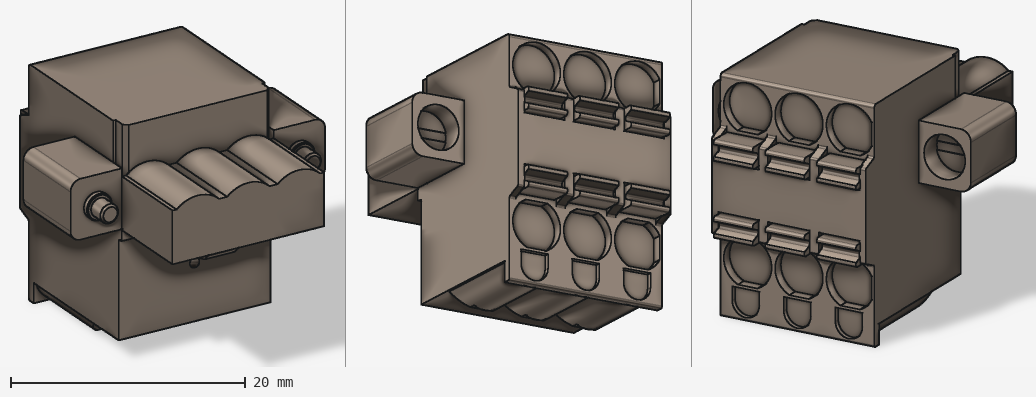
import cadquery as cq


pole_pitch = 5.08
pole_offsets = [pole_pitch, 0.0, -pole_pitch]
body_width = 15.14
body_height = 22.1
body_back = 15.26
lower_back = 14.73
lower_back_top = 11.35
back_step_fillet = 0.14
floor_z = 1.91
lip_thickness = 0.82
top_edge_fillet = 0.3
lip_edge_fillet = 0.2

band_mid_z = 12.38
band_depth = 1.45
band_half_inner = 4.33
band_half_outer = 4.9
band_fillet = 0.2

pocket_half_inner = 2.3
pocket_half_outer = 5.05
rib_width = 0.9
rib_y = 2.5
outer_rib_width = 0.64
lever_width = 3.84
lever_shift = -0.04
lever_tip_depth = 2.2
lever_half_inner = 2.5
lever_half_outer = 4.5
tang_tip_thickness = 0.45
tang_tip_setback = 0.06
tang_root_thickness = 0.72
tang_tip_round = 0.22

wire_hole_radius = 2.36
wire_hole_depth = 1.0
wire_hole_shift = -0.17
wire_hole_pitch = 5.05
wire_hole_min_y = -7.32
upper_hole_z = 19.36
upper_hole_bottom = 17.22
lower_hole_z = 5.36
lower_hole_bottom = 3.2
lower_hole_top = 7.47

test_hole_radius = 1.335
test_hole_z = 1.67
test_hole_top = 2.94
test_hole_depth = 0.5

belly_radius = 2.3
belly_end_top = 10.4
belly_slope_end = 8.87
belly_step_z = 0.27
belly_end_bottom = 8.29

shroud_end = 23.52
shroud_bottom = 12.42
shroud_shoulder = 17.45
shroud_top = 18.27
hump_pitch = 5.04
hump_half_width = 2.12

total_width = 25.4
ear_front = 7.56
ear_bottom = 12.52
ear_top = 18.21
ear_corner = 1.0
screw_y = 10.12
screw_z = (ear_bottom + ear_top) / 2
screw_bore_radius = 2.03
screw_bore_depth = 2.1
screw_slot_width = 0.82
screw_slot_depth = 0.1
collar_radius = 1.25
collar_length = 0.58
collar_chamfer = 0.1
pin_radius = 0.9
pin_end = 17.55
pin_chamfer = 0.2

corner_front = 13.8
corner_inset = 0.27
corner_chamfer = 0.4

latch_width = 3.0
latch_root_bottom = 8.7
latch_root_top = 10.82
latch_root_flare = 0.15
latch_arm_end = 18.28
latch_arm_end_top = 10.9
latch_crest_start = 18.65
latch_crest_end = 18.85
latch_crest_z = 11.28
latch_nose_x = 19.7
latch_nose_bottom = 10.52
latch_nose_top = 10.8
latch_chin_x = 18.8
latch_chin_z = 9.63
stop_radius = 0.48
stop_height = 0.31
stop_z = 7.42

half_width = body_width / 2


def box(x_range, y_range, z_range):
    """Block between the given limits."""
    size = [high - low for low, high in (x_range, y_range, z_range)]
    corner = (x_range[0], y_range[0], z_range[0])
    return cq.Workplane("XY").box(*size, centered=False).translate(corner)


def side_extrusion(points, width, middle_y=0.0):
    """Extrude an X-Z outline over a width centred on middle_y."""
    outline = cq.Workplane("XZ").polyline(points).close()
    return outline.extrude(width / 2, both=True).translate((0, middle_y, 0))


def x_cylinder(radius, start_x, end_x, y, z):
    """Cylinder along X."""
    base = cq.Workplane("YZ", origin=(start_x, y, z))
    return base.circle(radius).extrude(end_x - start_x)


def edges_at(shape, x, z):
    """Straight edges along Y at the given X and Z."""
    reach = 0.01
    low = (x - reach, -total_width, z - reach)
    high = (x + reach, total_width, z + reach)
    return shape.edges(cq.selectors.BoxSelector(low, high))


def make_body():
    inner_top = band_mid_z + band_half_inner
    outer_top = band_mid_z + band_half_outer
    inner_bottom = band_mid_z - band_half_inner
    outer_bottom = band_mid_z - band_half_outer
    outline = [
        (0, 0),
        (lip_thickness, 0),
        (lip_thickness, floor_z),
        (lower_back, floor_z),
        (lower_back, lower_back_top),
        (body_back, lower_back_top),
        (body_back, body_height),
        (0, body_height),
        (0, outer_top),
        (-band_depth, inner_top),
        (-band_depth, inner_bottom),
        (0, outer_bottom),
    ]
    body = side_extrusion(outline, body_width)
    body = edges_at(body, 0, body_height).fillet(top_edge_fillet)
    body = edges_at(body, 0, 0).fillet(lip_edge_fillet)
    for x in (lower_back, body_back):
        body = edges_at(body, x, lower_back_top).fillet(back_step_fillet)
    for x, z in (
        (0, outer_top),
        (-band_depth, inner_top),
        (-band_depth, inner_bottom),
        (0, outer_bottom),
    ):
        body = edges_at(body, x, z).fillet(band_fillet)
    return body


def make_corner_recess(side):
    """Shallow recess that ends in a chamfer on the back edge; side is +1 or -1."""
    inset_y = half_width - corner_inset
    outline = [
        (corner_front, side * half_width),
        (corner_front, side * inset_y),
        (body_back - corner_chamfer, side * inset_y),
        (body_back, side * (inset_y - corner_chamfer)),
        (body_back, side * half_width),
    ]
    base = cq.Workplane("XY", origin=(0, 0, ear_bottom))
    return base.polyline(outline).close().extrude(body_height - ear_bottom)


def make_lever_pocket(low_y, high_y, direction):
    """Pocket through the band; direction is +1 above its middle and -1 below."""
    limits = [band_mid_z + direction * half for half in (pocket_half_inner, pocket_half_outer)]
    return box((-lever_tip_depth, 0), (low_y, high_y), sorted(limits))


def make_lever(middle_y, direction):
    """Lever with two tangs and a concave groove for a screwdriver blade."""

    def z_at(half):
        return band_mid_z + direction * half

    outer_root = lever_half_outer - tang_root_thickness
    inner_root = lever_half_inner + tang_root_thickness
    tip_x = -lever_tip_depth
    tip_inner_x = tip_x + tang_tip_setback
    lever = (
        cq.Workplane("XZ")
        .moveTo(0, z_at(lever_half_inner))
        .lineTo(tip_x + tang_tip_round, z_at(lever_half_inner))
        .threePointArc(
            (tip_x, z_at(lever_half_inner + tang_tip_round)),
            (tip_inner_x, z_at(lever_half_inner + tang_tip_thickness)),
        )
        .lineTo(-band_depth, z_at(inner_root))
        .tangentArcPoint((-band_depth, z_at(outer_root)), relative=False)
        .lineTo(tip_inner_x, z_at(lever_half_outer - tang_tip_thickness))
        .threePointArc(
            (tip_x, z_at(lever_half_outer - tang_tip_round)),
            (tip_x + tang_tip_round, z_at(lever_half_outer)),
        )
        .lineTo(0, z_at(lever_half_outer))
        .close()
        .extrude(lever_width / 2, both=True)
    )
    return lever.translate((0, middle_y, 0))


def make_wire_holes(y):
    """Upper and lower wire opening of one pole: round recesses with flats."""
    low_y = max(y - wire_hole_radius, wire_hole_min_y)
    high_y = y + wire_hole_radius
    holes = []
    for z, low_z, high_z in (
        (upper_hole_z, upper_hole_bottom, upper_hole_z + wire_hole_radius),
        (lower_hole_z, lower_hole_bottom, lower_hole_top),
    ):
        disc = x_cylinder(wire_hole_radius, 0, wire_hole_depth, y, z)
        holes.append(disc.intersect(box((0, wire_hole_depth), (low_y, high_y), (low_z, high_z))))
    return holes


def make_test_hole(y):
    """D-shaped recess with its flat side up."""
    outline = (
        cq.Workplane("YZ")
        .moveTo(y - test_hole_radius, test_hole_top)
        .lineTo(y - test_hole_radius, test_hole_z)
        .threePointArc((y, test_hole_z - test_hole_radius), (y + test_hole_radius, test_hole_z))
        .lineTo(y + test_hole_radius, test_hole_top)
        .close()
    )
    return outline.extrude(test_hole_depth)


def make_belly(y):
    """Half-round rib with a sloped back end."""
    rod = x_cylinder(belly_radius, lip_thickness, belly_end_top, y, belly_radius)
    outline = [
        (lip_thickness, 0),
        (belly_end_bottom, 0),
        (belly_end_bottom, belly_step_z),
        (belly_slope_end, belly_step_z),
        (belly_end_top, floor_z),
        (lip_thickness, floor_z),
    ]
    return rod.intersect(side_extrusion(outline, 2 * belly_radius, y))


def make_shroud():
    shroud = box((body_back, shroud_end), (-half_width, half_width), (shroud_bottom, shroud_shoulder))
    rise = shroud_top - shroud_shoulder
    hump_radius = (hump_half_width**2 + rise**2) / (2 * rise)
    for pole in (-1, 0, 1):
        y = pole * hump_pitch
        rod = x_cylinder(hump_radius, body_back, shroud_end, y, shroud_top - hump_radius)
        cap = box(
            (body_back, shroud_end),
            (y - hump_half_width, y + hump_half_width),
            (shroud_shoulder, shroud_top),
        )
        shroud = shroud.union(rod.intersect(cap))
    return shroud


def make_ears():
    ears = box(
        (ear_front, body_back),
        (-total_width / 2, total_width / 2),
        (ear_bottom, ear_top),
    )
    return ears.edges("|X").fillet(ear_corner)


def make_screw_bore(y):
    """Bore down to the slotted screw head."""
    head_x = ear_front + screw_bore_depth
    slot_x = head_x + screw_slot_depth
    bore = x_cylinder(screw_bore_radius, ear_front, head_x, y, screw_z)
    slot = x_cylinder(screw_bore_radius, head_x, slot_x, y, screw_z).intersect(
        box(
            (head_x, slot_x),
            (y - screw_bore_radius, y + screw_bore_radius),
            (screw_z - screw_slot_width / 2, screw_z + screw_slot_width / 2),
        )
    )
    return bore.union(slot)


def make_screw_tip(y):
    collar = x_cylinder(collar_radius, body_back, body_back + collar_length, y, screw_z)
    collar = collar.faces(">X").chamfer(collar_chamfer)
    pin = x_cylinder(pin_radius, body_back, pin_end, y, screw_z)
    pin = pin.faces(">X").chamfer(pin_chamfer)
    return collar.union(pin)


def make_latch():
    """Hook that snaps into the mating header."""
    root_x = lower_back + latch_root_flare
    outline = [
        (lower_back, latch_root_bottom - latch_root_flare),
        (root_x, latch_root_bottom),
        (latch_chin_x, latch_chin_z),
        (latch_nose_x, latch_nose_bottom),
        (latch_nose_x, latch_nose_top),
        (latch_crest_end, latch_crest_z),
        (latch_crest_start, latch_crest_z),
        (latch_arm_end, latch_arm_end_top),
        (root_x, latch_root_top),
        (lower_back, latch_root_top + latch_root_flare),
    ]
    return side_extrusion(outline, latch_width)


def make_stop():
    """Low round dome under the latch."""
    sphere_radius = (stop_radius**2 + stop_height**2) / (2 * stop_height)
    dome_top = lower_back + stop_height
    center_x = dome_top - sphere_radius
    profile = (
        cq.Workplane("XY", origin=(0, 0, stop_z))
        .moveTo(center_x, 0)
        .lineTo(dome_top, 0)
        .radiusArc((lower_back, stop_radius), -sphere_radius)
        .close()
    )
    return profile.revolve(360, (0, 0), (1, 0))


result = make_body()

result = result.union(make_ears())
for side in (1, -1):
    result = result.cut(make_corner_recess(side))

result = result.union(make_shroud())
for screw_side in (screw_y, -screw_y):
    result = result.cut(make_screw_bore(screw_side)).union(make_screw_tip(screw_side))

pocket_limits = [
    (-half_width + outer_rib_width, -rib_y - rib_width / 2),
    (-rib_y + rib_width / 2, rib_y - rib_width / 2),
    (rib_y + rib_width / 2, half_width - outer_rib_width),
]
for direction in (1, -1):
    for low_y, high_y in pocket_limits:
        result = result.cut(make_lever_pocket(low_y, high_y, direction))
    for y in pole_offsets:
        result = result.union(make_lever(y + lever_shift, direction))

for pole in (-1, 0, 1):
    for hole in make_wire_holes(pole * wire_hole_pitch + wire_hole_shift):
        result = result.cut(hole)

for y in pole_offsets:
    result = result.union(make_belly(y)).cut(make_test_hole(y))

result = result.union(make_latch()).union(make_stop())